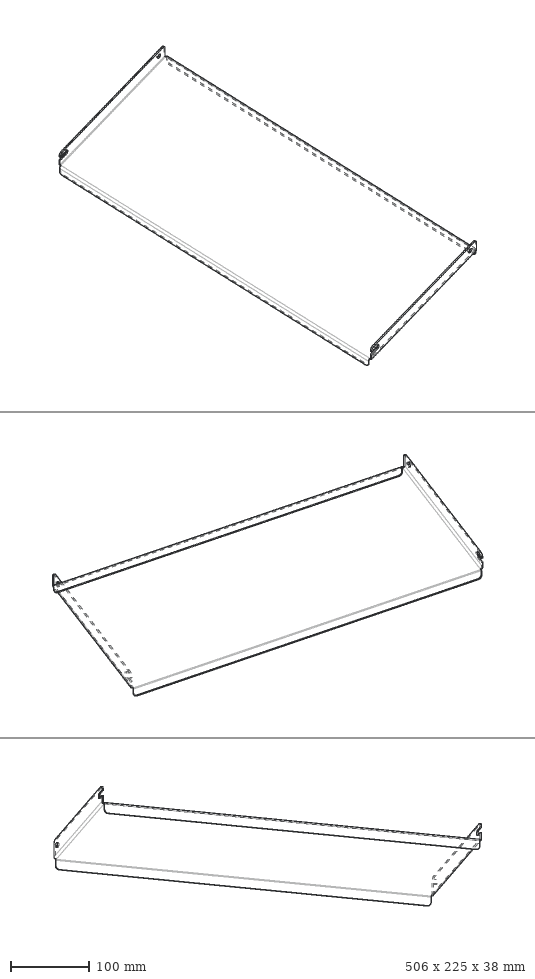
import cadquery as cq

LENGTH = 506.0
WIDTH = 225.0
HEIGHT = 38.0

SHEET = 2.0
INNER_BEND = 1.0
OUTER_BEND = INNER_BEND + SHEET
FLOOR_TOP = 15.0
FLOOR_BOTTOM = FLOOR_TOP - SHEET

FLOOR_LENGTH = LENGTH - 2 * OUTER_BEND
FLOOR_WIDTH = WIDTH - 2 * OUTER_BEND
CORNER_RADIUS = 5.0

MOUNT_FROM_TOP = 10.0
MOUNT_FROM_EDGE = 12.5
MOUNT_Z = HEIGHT - MOUNT_FROM_TOP
HOLE_DIAMETER = 6.5
SLOT_HEIGHT = 7.0
SLOT_DEPTH = MOUNT_FROM_EDGE + SLOT_HEIGHT / 2


def bent_flange(bend_start, tip, run, bends_up):
    """Bend and flange in the XZ plane, extruded along Y over the length `run`.

    The bend starts at X = `bend_start` on the floor and the flange ends at Z = `tip`.
    """
    turn = 1 if bends_up else -1
    outside_z = FLOOR_BOTTOM if bends_up else FLOOR_TOP
    inside_z = outside_z + turn * SHEET
    bend_z = outside_z + turn * OUTER_BEND
    outer_x = bend_start + OUTER_BEND
    inner_x = bend_start + INNER_BEND
    profile = (
        cq.Workplane("XZ")
        .moveTo(bend_start, outside_z)
        .radiusArc((outer_x, bend_z), -turn * OUTER_BEND)
        .lineTo(outer_x, tip)
        .lineTo(inner_x, tip)
        .lineTo(inner_x, bend_z)
        .radiusArc((bend_start, inside_z), turn * INNER_BEND)
        .close()
    )
    flange = profile.extrude(run / 2, both=True)
    tip_side = ">Z" if bends_up else "<Z"
    return flange.faces(tip_side).edges("|X").fillet(CORNER_RADIUS)


def end_flange():
    """Upright flange at the +X end, with a hole near +Y and an open slot at -Y."""
    flange = bent_flange(FLOOR_LENGTH / 2, HEIGHT, FLOOR_WIDTH, bends_up=True)
    edge_y = FLOOR_WIDTH / 2
    hole = (
        cq.Workplane("YZ")
        .center(edge_y - MOUNT_FROM_EDGE, MOUNT_Z)
        .circle(HOLE_DIAMETER / 2)
        .extrude(LENGTH)
    )
    slot = (
        cq.Workplane("YZ")
        .center(-edge_y, MOUNT_Z)
        .slot2D(2 * SLOT_DEPTH, SLOT_HEIGHT)
        .extrude(LENGTH)
    )
    return flange.cut(hole).cut(slot)


def side_flange():
    """Downward flange along the +Y side."""
    flange = bent_flange(FLOOR_WIDTH / 2, 0, FLOOR_LENGTH, bends_up=False)
    return flange.rotate((0, 0, 0), (0, 0, 1), 90)


def tray():
    floor = (
        cq.Workplane("XY")
        .workplane(offset=FLOOR_BOTTOM)
        .rect(FLOOR_LENGTH, FLOOR_WIDTH)
        .extrude(SHEET)
    )
    end = end_flange()
    side = side_flange()
    return floor.union(end).union(end.mirror("YZ")).union(side).union(side.mirror("XZ"))


result = tray()